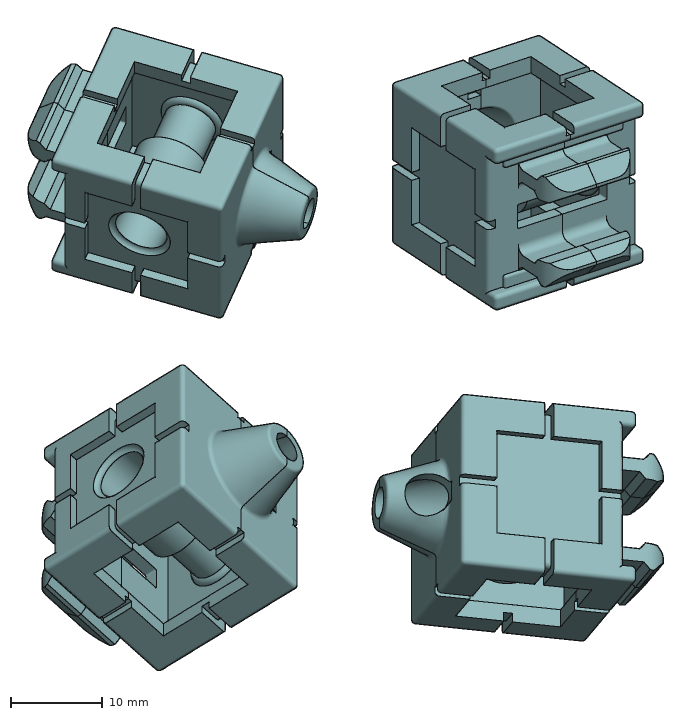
import cadquery as cq
OVERALL_LENGTH = 31.5
CUBE = 20.0
HALF = CUBE / 2
EDGE_ROUND = 0.5

WINDOW = 12.0
GROOVE_WIDTH = 1.0
GROOVE_DEPTH = 1.0
CORE = CUBE - 2 * GROOVE_DEPTH
CORE_ROUND = 0.6

LIP = 2.02
CAVITY_X = 14.0
CAVITY_Y = 16.0
CAVITY_Z = CUBE - 2 * LIP

SETBACK = 1.5
FLANGE = 1.9
FLANGE_Z = HALF - FLANGE
WALL_X = -HALF + SETBACK
SLOT_HEIGHT = 3.0
SLOT_ROUND = 0.2

PAD_WIDTH = 16.0
PAD_HEIGHT = 1.45
PAD_DEPTH = 0.4
PAD_ROUND = 0.3

CLIP_WIDTH = 11.8
CLIP_ROOT_ROUND = 1.0
NOSE_X = -15.0
NOSE_ROUND = 2.95
NOSE_BOTTOM = 4.6
NOSE_TOP = 4.98
STEM_BOTTOM = 4.5
STEM_TOP = 6.02
BARB_BOTTOM = 3.75
BARB_TOP = 6.8
OUTER_BARB_START = -13.25
OUTER_BARB_END = -12.75
OUTER_SHOULDER = -12.0
INNER_BARB_START = -13.73
INNER_BARB_END = -12.22
INNER_SHOULDER = -11.53

NOZZLE_END = OVERALL_LENGTH + NOSE_X
NOZZLE_BASE_RADIUS = 5.4
NOZZLE_TIP_RADIUS = 3.0
NOZZLE_BASE_ROUND = 0.6
NOZZLE_TIP_ROUND = 0.4
BORE_INLET_X = CAVITY_X / 2
BORE_INLET_RADIUS = 4.85
BORE_TIP_RADIUS = 1.73
BORE_INLET_ROUND = 0.35
SIDE_HOLE_X = 12.2
SIDE_HOLE_RADIUS = 2.45

COLUMN_JOINT_Y = 1.5
COLUMN_ROOT_ROUND = 0.63
SLEEVE_RADIUS = 4.2
SCREW_HEAD_RADIUS = 3.0
SCREW_ENTRY_ROUND = 0.6
SCREW_HEAD_SEAT_Y = -1.5
CLEARANCE_RADIUS = 1.6
POST_RADIUS = 2.95
PILOT_RADIUS = 1.25
PILOT_DEPTH = 6.0

LATCH_LENGTH = 1.73
LATCH_FLOOR_Z = 6.6
LATCH_DEPTH = 1.0

EDGE_TOLERANCE = 0.03


def span_box(x_range, y_range, z_range):
    """Box given by its lower and upper limit along each axis."""
    sizes = [high - low for low, high in (x_range, y_range, z_range)]
    corner = (x_range[0], y_range[0], z_range[0])
    return cq.Workplane("XY").box(*sizes, centered=False).translate(corner)


def y_cylinder(radius, y_start, y_end):
    """Cylinder about the Y axis."""
    return cq.Workplane("XZ", origin=(0, y_start, 0)).circle(radius).extrude(y_start - y_end)


def outer_block():
    """Rounded cube with the set-back between the two flanges."""
    outline = [
        (-HALF, HALF), (HALF, HALF), (HALF, -HALF), (-HALF, -HALF),
        (-HALF, -FLANGE_Z), (WALL_X, -FLANGE_Z), (WALL_X, FLANGE_Z), (-HALF, FLANGE_Z),
    ]
    block = cq.Workplane("XZ").polyline(outline).close().extrude(HALF, both=True)
    end_edges = block.faces("<Y or >Y").edges()
    corner_edges = block.faces("<X or >X").edges("|Y")
    return block.newObject(end_edges.vals() + corner_edges.vals()).fillet(EDGE_ROUND)


def frame_cuts():
    """Grooves and side recesses, all ending at a core with rounded edges along X."""
    length = 2 * CUBE
    vertical_groove = cq.Workplane("XY").box(GROOVE_WIDTH, length, length)
    side_groove = cq.Workplane("XY").box(length, length, GROOVE_WIDTH)
    top_groove = cq.Workplane("XY").box(length, GROOVE_WIDTH, length)
    side_recess = cq.Workplane("XY").box(WINDOW, length, WINDOW)
    core = cq.Workplane("XY").box(2 * length, CORE, CORE).edges("|X").fillet(CORE_ROUND)
    return vertical_groove.union(side_groove).union(top_groove).union(side_recess).cut(core)


def cavity():
    """Hollow of the cube with its top and bottom windows and the slot in the -X wall."""
    hollow = cq.Workplane("XY").box(CAVITY_X, CAVITY_Y, CAVITY_Z)
    windows = cq.Workplane("XY").box(WINDOW, WINDOW, 2 * CUBE)
    slot = span_box((-CUBE, 0), (-WINDOW / 2, WINDOW / 2), (-SLOT_HEIGHT / 2, SLOT_HEIGHT / 2))
    return hollow.union(windows).union(slot.edges("|X").fillet(SLOT_ROUND))


def pad():
    """Upper pad on the set-back wall, against the flange."""
    block = span_box(
        (WALL_X - PAD_DEPTH, WALL_X),
        (-PAD_WIDTH / 2, PAD_WIDTH / 2),
        (FLANGE_Z - PAD_HEIGHT, FLANGE_Z),
    )
    face_edges = block.faces("<X").edges("not >Z")
    bottom_corners = block.faces("<Z").edges("|X")
    return block.newObject(face_edges.vals() + bottom_corners.vals()).fillet(PAD_ROUND)


def clip():
    """Upper snap clip: a stem flared at its root and a double-barbed head."""
    stem_end = WALL_X - CLIP_ROOT_ROUND
    profile = (
        cq.Workplane("XZ")
        .moveTo(NOSE_X, NOSE_TOP)
        .lineTo(OUTER_BARB_START, BARB_TOP)
        .lineTo(OUTER_BARB_END, BARB_TOP)
        .lineTo(OUTER_SHOULDER, STEM_TOP)
        .lineTo(stem_end, STEM_TOP)
        .radiusArc((WALL_X, STEM_TOP + CLIP_ROOT_ROUND), -CLIP_ROOT_ROUND)
        .lineTo(WALL_X, STEM_BOTTOM - CLIP_ROOT_ROUND)
        .radiusArc((stem_end, STEM_BOTTOM), -CLIP_ROOT_ROUND)
        .lineTo(INNER_SHOULDER, STEM_BOTTOM)
        .lineTo(INNER_BARB_END, BARB_BOTTOM)
        .lineTo(INNER_BARB_START, BARB_BOTTOM)
        .lineTo(NOSE_X, NOSE_BOTTOM)
        .close()
    )
    blade = profile.extrude(CLIP_WIDTH / 2, both=True)
    plan = span_box((NOSE_X, WALL_X), (-CLIP_WIDTH / 2, CLIP_WIDTH / 2), (0, CUBE))
    return blade.intersect(plan.edges("|Z and <X").fillet(NOSE_ROUND))


def x_cone(start_x, start_radius, end_x, end_radius):
    """Truncated cone about the X axis."""
    outline = [(start_x, 0), (start_x, start_radius), (end_x, end_radius), (end_x, 0)]
    return cq.Workplane("XY").polyline(outline).close().revolve(360, (0, 0, 0), (1, 0, 0))


def circle_at(x, radius):
    """Selector for the circular edge about the X axis at x."""
    reach = radius + EDGE_TOLERANCE
    low = (x - EDGE_TOLERANCE, -reach, -reach)
    high = (x + EDGE_TOLERANCE, reach, reach)
    return cq.selectors.BoxSelector(low, high, boundingbox=True)


def nozzle():
    cone = x_cone(HALF, NOZZLE_BASE_RADIUS, NOZZLE_END, NOZZLE_TIP_RADIUS)
    return cone.faces(">X").edges().fillet(NOZZLE_TIP_ROUND)


def side_hole():
    """Hole through the +Y side of the nozzle, into its bore."""
    outer_end = NOZZLE_BASE_RADIUS + NOZZLE_BASE_ROUND
    return y_cylinder(SIDE_HOLE_RADIUS, 0, outer_end).translate((SIDE_HOLE_X, 0, 0))


def shell():
    """Complete hollow housing, before it is split into two halves."""
    body = outer_block().cut(frame_cuts()).union(nozzle())
    body = body.edges(circle_at(HALF, NOZZLE_BASE_RADIUS)).fillet(NOZZLE_BASE_ROUND)
    body = body.cut(cavity())
    body = body.cut(x_cone(BORE_INLET_X, BORE_INLET_RADIUS, NOZZLE_END, BORE_TIP_RADIUS))
    body = body.edges(circle_at(BORE_INLET_X, BORE_INLET_RADIUS)).fillet(BORE_INLET_ROUND)
    body = body.cut(side_hole())
    for feature in (pad(), clip()):
        body = body.union(feature).union(feature.mirror("XY"))
    return body


def flare(radius, rounding, wall_y, direction):
    """Trumpet about the Y axis that narrows to radius as it leaves wall_y in direction (+1 or -1)."""
    end_y = wall_y + direction * rounding
    profile = (
        cq.Workplane("XY")
        .moveTo(0, wall_y)
        .lineTo(radius + rounding, wall_y)
        .radiusArc((radius, end_y), -direction * rounding)
        .lineTo(0, end_y)
        .close()
    )
    return profile.revolve(360, (0, 0, 0), (0, 1, 0))


def front_half(housing):
    """-Y half of the housing with the sleeve that takes the screw head."""
    inner_wall = -CAVITY_Y / 2
    outer_wall = -CORE / 2
    body = housing.intersect(span_box((-CUBE, CUBE), (-CUBE, 0), (-CUBE, CUBE)))
    body = body.union(y_cylinder(SLEEVE_RADIUS, inner_wall, COLUMN_JOINT_Y))
    body = body.union(flare(SLEEVE_RADIUS, COLUMN_ROOT_ROUND, inner_wall, 1))
    body = body.cut(y_cylinder(CLEARANCE_RADIUS, outer_wall, COLUMN_JOINT_Y))
    body = body.cut(y_cylinder(SCREW_HEAD_RADIUS, outer_wall, SCREW_HEAD_SEAT_Y))
    return body.cut(flare(SCREW_HEAD_RADIUS, SCREW_ENTRY_ROUND, outer_wall, 1))


def back_half(housing):
    """+Y half of the housing with the post that takes the screw thread."""
    inner_wall = CAVITY_Y / 2
    body = housing.intersect(span_box((-CUBE, CUBE), (0, CUBE), (-CUBE, CUBE)))
    body = body.union(y_cylinder(POST_RADIUS, COLUMN_JOINT_Y, inner_wall))
    body = body.union(flare(POST_RADIUS, COLUMN_ROOT_ROUND, inner_wall, -1))
    body = body.cut(y_cylinder(PILOT_RADIUS, COLUMN_JOINT_Y, COLUMN_JOINT_Y + PILOT_DEPTH))
    return body.cut(latch_pocket())


def latch_pocket():
    """Pocket in the +X wall, under the lip and next to the joint plane."""
    wall = CAVITY_X / 2
    return span_box((wall, wall + LATCH_DEPTH), (0, LATCH_LENGTH), (LATCH_FLOOR_Z, CAVITY_Z / 2))


housing = shell()
front = front_half(housing)
back = back_half(housing)
result = cq.Compound.makeCompound([front.solids().val(), back.solids().val()])